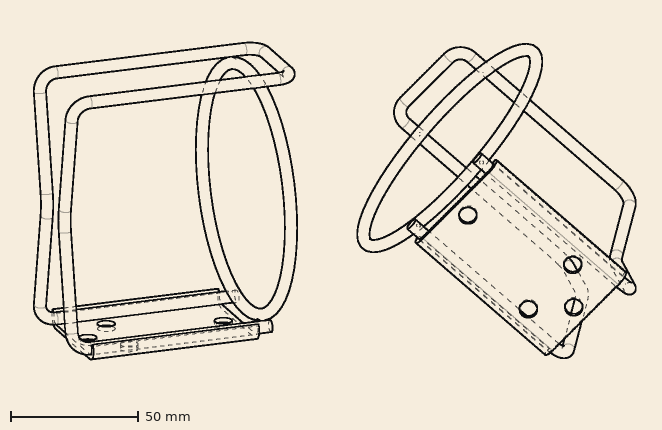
import cadquery as cq
import math

total_height = 109.5
total_depth = 97.6
wire_dia = 4.9
wire_radius = wire_dia / 2

plate_length = 69.7
plate_thickness = 2.0
rail_x = 19.1
curl_end_angle = 38.0
curl_outer_radius = wire_radius + plate_thickness
hole_dia = 7.0
end_hole_inset = 6.4
side_hole_x = 12.8
side_hole_y = 18.8

rail_low_z = plate_thickness + wire_radius
rail_high_z = total_height - wire_radius
middle_z = (rail_low_z + rail_high_z) / 2
front_bend_radius = 7.1
back_bend_radius = 6.2
waist_bend_radius = 25.2
waist_x = 9.3
front_y = -front_bend_radius
back_y = front_y + total_depth - wire_dia
rail_end_y = 76.0

ring_outer_dia = 104.8
ring_y = 73.1


def make_plate():
    """Flat plate whose long edges roll up concentrically around the frame rails."""
    angle = math.radians(curl_end_angle)
    mid_angle = (angle - math.pi / 2) / 2

    def edge_point(side, radius, turn):
        return (side * (rail_x + radius * math.cos(turn)), rail_low_z + radius * math.sin(turn))

    profile = (
        cq.Workplane("XZ")
        .moveTo(-rail_x, 0)
        .lineTo(rail_x, 0)
        .threePointArc(edge_point(1, curl_outer_radius, mid_angle), edge_point(1, curl_outer_radius, angle))
        .lineTo(*edge_point(1, wire_radius, angle))
        .threePointArc(edge_point(1, wire_radius, mid_angle), (rail_x, plate_thickness))
        .lineTo(-rail_x, plate_thickness)
        .threePointArc(edge_point(-1, wire_radius, mid_angle), edge_point(-1, wire_radius, angle))
        .lineTo(*edge_point(-1, curl_outer_radius, angle))
        .threePointArc(edge_point(-1, curl_outer_radius, mid_angle), (-rail_x, 0))
        .close()
    )
    hole_centers = [
        (0, end_hole_inset),
        (0, plate_length - end_hole_inset),
        (-side_hole_x, side_hole_y),
        (side_hole_x, side_hole_y),
    ]
    holes = cq.Workplane("XY").pushPoints(hole_centers).circle(hole_dia / 2).extrude(plate_thickness)
    return profile.extrude(-plate_length).cut(holes).solids()


def rounded_path(start, corners, end):
    """Wire of straight runs joined by tangent arcs; corners are (point, bend radius) pairs."""
    points = [cq.Vector(*start)] + [cq.Vector(*point) for point, _ in corners] + [cq.Vector(*end)]
    edges = []
    run_start = points[0]
    for i, (_, radius) in enumerate(corners, start=1):
        corner = points[i]
        to_previous = (points[i - 1] - corner).normalized()
        to_next = (points[i + 1] - corner).normalized()
        half_angle = to_previous.getAngle(to_next) / 2
        tangent_length = radius / math.tan(half_angle)
        arc_start = corner + to_previous * tangent_length
        arc_end = corner + to_next * tangent_length
        inward = (to_previous + to_next).normalized()
        arc_middle = corner + inward * (radius / math.sin(half_angle) - radius)
        edges.append(cq.Edge.makeLine(run_start, arc_start))
        edges.append(cq.Edge.makeThreePointArc(arc_start, arc_middle, arc_end))
        run_start = arc_end
    edges.append(cq.Edge.makeLine(run_start, points[-1]))
    return cq.Wire.assembleEdges(edges)


def make_frame():
    """One continuous wire: lower rail, waisted front leg, upper rail, back bar and the mirrored side."""
    left_corners = [
        ((-rail_x, front_y, rail_low_z), front_bend_radius),
        ((-waist_x, front_y, middle_z), waist_bend_radius),
        ((-rail_x, front_y, rail_high_z), front_bend_radius),
        ((-rail_x, back_y, rail_high_z), back_bend_radius),
    ]
    right_corners = [((-x, y, z), radius) for (x, y, z), radius in reversed(left_corners)]
    start = (-rail_x, rail_end_y, rail_low_z)
    end = (rail_x, rail_end_y, rail_low_z)
    path = rounded_path(start, left_corners + right_corners, end)
    section = cq.Workplane("XZ", origin=start).circle(wire_radius)
    return section.sweep(cq.Workplane(path))


def make_ring(frame):
    """Round hoop between the rails, with shallow seats where it bears on them."""
    center_radius = ring_outer_dia / 2 - wire_radius
    hoop = cq.Solid.makeTorus(center_radius, wire_radius, cq.Vector(0, ring_y, middle_z), cq.Vector(0, 1, 0))
    return cq.Workplane(hoop).cut(frame).solids()


plate = make_plate()
frame = make_frame()
ring = make_ring(frame)

result = cq.Compound.makeCompound([plate.val(), frame.val(), ring.val()])